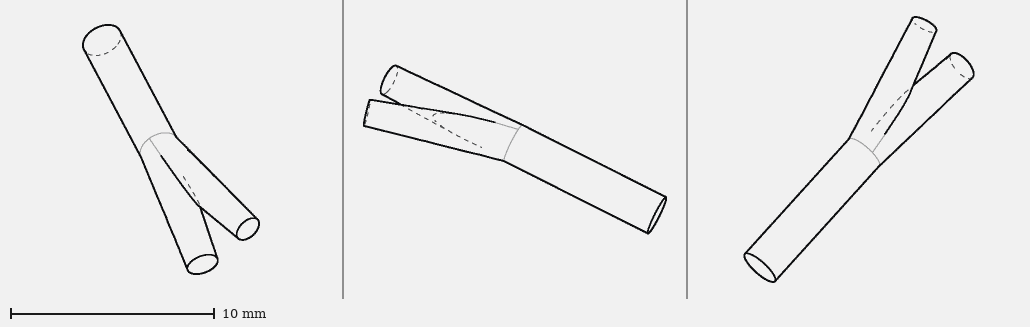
import cadquery as cq

trunk_radius = 1.0
trunk_length = 7.97

left_tip_centre = cq.Vector(15.02, 2.02, 0.26)
left_tip_radius = 0.67
left_tip_normal = cq.Vector(1, 0.24, 0)

lower_tip_centre = cq.Vector(15.04, -0.36, -1.35)
lower_tip_radius = 0.79
lower_tip_normal = cq.Vector(1, -0.05, -0.19)

trunk_direction = cq.Vector(1, 0, 0)
fork_centre = trunk_direction * trunk_length


def make_trunk():
    return cq.Solid.makeCylinder(trunk_radius, trunk_length, cq.Vector(), trunk_direction)


def circle_wire(radius, centre, normal):
    """Circle whose seam points as nearly along +Z as its plane allows."""
    seam_side = normal.cross(cq.Vector(0, 0, 1).cross(normal))
    plane = cq.Plane(origin=centre, xDir=seam_side, normal=normal)
    return cq.Workplane(plane).circle(radius).wires().val()


def make_branch(tip_radius, tip_centre, tip_normal):
    """Straight taper from the trunk's end face to a tilted circular tip."""
    root = circle_wire(trunk_radius, fork_centre, trunk_direction)
    tip = circle_wire(tip_radius, tip_centre, tip_normal)
    return cq.Solid.makeLoft([root, tip], True)


left_branch = make_branch(left_tip_radius, left_tip_centre, left_tip_normal)
lower_branch = make_branch(lower_tip_radius, lower_tip_centre, lower_tip_normal)

result = cq.Workplane(make_trunk()).union(left_branch).union(lower_branch)